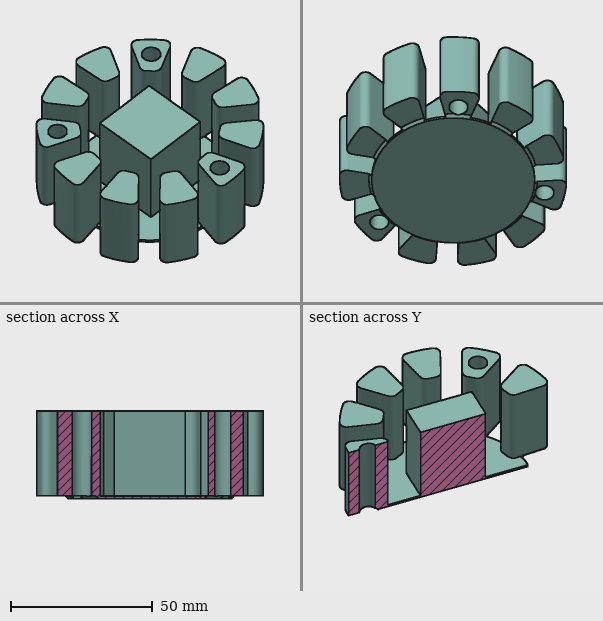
import cadquery as cq
import math

outer_diameter = 80.0
post_count = 11
first_post_angle = 2.5
slot_width = 7.6
post_inner_distance = 24.8
post_corner_radius = 2.5
post_height = 29.95

plate_radius = 28.7
plate_thickness = 1.0
block_side = 25.0

hole_diameter = 6.6
hole_circle_radius = 32.8
first_hole_angle = 2.3
drilled_posts = (0, 4, 7)

outer_radius = outer_diameter / 2
post_pitch = 360 / post_count
half_pitch = math.radians(post_pitch / 2)


def post_half_width(distance):
    """Half width of a post at a distance along its centre line; each flank is parallel to its slot."""
    return distance * math.tan(half_pitch) - slot_width / 2 / math.cos(half_pitch)


def make_post_prism(bottom, height):
    """Wedge on the +X axis with a round outer face and rounded upright edges."""
    inner_half = post_half_width(post_inner_distance)
    flank_end_angle = half_pitch - math.asin(slot_width / 2 / outer_radius)
    outer_x = outer_radius * math.cos(flank_end_angle)
    outer_y = outer_radius * math.sin(flank_end_angle)
    return (
        cq.Workplane("XY", origin=(0, 0, bottom))
        .moveTo(post_inner_distance, -inner_half)
        .lineTo(outer_x, -outer_y)
        .threePointArc((outer_radius, 0), (outer_x, outer_y))
        .lineTo(post_inner_distance, inner_half)
        .close()
        .extrude(height)
        .edges("|Z")
        .fillet(post_corner_radius)
    )


def make_post():
    """Post with a sloping foot that braces its underside against the plate rim at 45 degrees."""
    brace_cone = (
        cq.Workplane("XY", origin=(0, 0, -plate_thickness))
        .circle(plate_radius)
        .extrude(plate_thickness, taper=-45)
    )
    foot = make_post_prism(-plate_thickness, plate_thickness).intersect(brace_cone)
    return make_post_prism(0, post_height).union(foot)


def turned(body, angle):
    """Body turned about the Z axis."""
    return body.rotate((0, 0, 0), (0, 0, 1), angle)


plate = cq.Workplane("XY").circle(plate_radius).extrude(-plate_thickness)
block = cq.Workplane("XY").rect(block_side, block_side).extrude(post_height)
result = plate.union(block)

post = make_post()
for index in range(post_count):
    result = result.union(turned(post, first_post_angle + index * post_pitch))

hole = (
    cq.Workplane("XY", origin=(hole_circle_radius, 0, -plate_thickness))
    .circle(hole_diameter / 2)
    .extrude(plate_thickness + post_height)
)
for index in drilled_posts:
    result = result.cut(turned(hole, first_hole_angle + index * post_pitch))